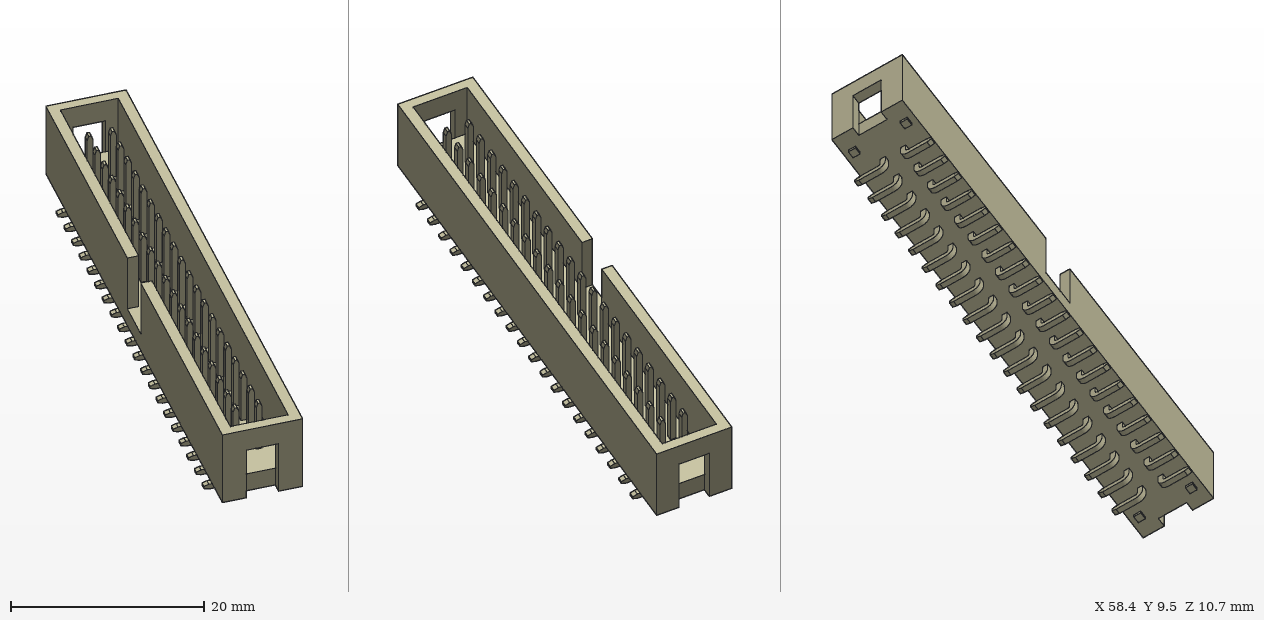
import cadquery as cq


length = 58.4
width = 8.75
housing_offset = 0.05
height = 8.9
floor_top = 2.2
side_wall = 1.2
end_wall = 1.1

key_width = 4.45
end_slot_width = 3.5
end_slot_top = 6.25

standoff_size = 0.9
standoff_height = 0.35
standoff_x = 26.75
standoff_y = 3.2

pins_per_row = 20
row_length = 48.25
pitch = row_length / (pins_per_row - 1)
pin_size = 0.65
pin_top = height - 0.7
foot_bottom = -1.75
foot_span = 9.5
foot_reach = foot_span / 2
bend_radius = 0.3
taper_length = 0.5
taper_depth = 0.2


def make_housing():
    """Open-topped box with a keying slot in the -Y wall and a slot in each end wall."""
    cavity_depth = height - floor_top
    housing = cq.Workplane("XY").box(length, width, height, centered=(True, True, False))
    cavity = (
        cq.Workplane("XY", origin=(0, 0, floor_top))
        .box(length - 2 * end_wall, width - 2 * side_wall, cavity_depth, centered=(True, True, False))
    )
    key_slot = (
        cq.Workplane("XY", origin=(0, (side_wall - width) / 2, floor_top))
        .box(key_width, side_wall, cavity_depth, centered=(True, True, False))
    )
    housing = housing.cut(cavity).cut(key_slot)
    for side in (-1, 1):
        end_slot = (
            cq.Workplane("XY", origin=(side * (length - end_wall) / 2, 0, 0))
            .box(end_wall, end_slot_width, end_slot_top, centered=(True, True, False))
        )
        housing = housing.cut(end_slot)
    return housing


def make_standoffs():
    """Four short square pads near the corners of the underside."""
    return (
        cq.Workplane("XY")
        .rect(2 * standoff_x, 2 * standoff_y, forConstruction=True)
        .vertices()
        .rect(standoff_size, standoff_size)
        .extrude(-standoff_height)
    )


def make_pin():
    """Square pin of the +Y row at X = 0: tapered tip, bent outward below, tapered foot."""
    inner = (pitch - pin_size) / 2
    outer = inner + pin_size
    foot_top = foot_bottom + pin_size
    bend_top = foot_top + bend_radius
    return (
        cq.Workplane("YZ", origin=(-pin_size / 2, 0, 0))
        .moveTo(inner, bend_top)
        .lineTo(inner, pin_top - taper_length)
        .lineTo(inner + taper_depth, pin_top)
        .lineTo(outer - taper_depth, pin_top)
        .lineTo(outer, pin_top - taper_length)
        .lineTo(outer, bend_top)
        .radiusArc((outer + bend_radius, foot_top), -bend_radius)
        .lineTo(foot_reach - taper_length, foot_top)
        .lineTo(foot_reach, foot_top - taper_depth)
        .lineTo(foot_reach, foot_bottom + taper_depth)
        .lineTo(foot_reach - taper_length, foot_bottom)
        .lineTo(outer + bend_radius, foot_bottom)
        .radiusArc((inner, bend_top), pin_size + bend_radius)
        .close()
        .extrude(pin_size)
    )


def make_pins():
    """Both pin rows, mirrored about the XZ plane."""
    pin = make_pin()
    pin_pair = [pin.val(), pin.mirror("XZ").val()]
    pins = []
    for column in range(pins_per_row):
        x = column * pitch - row_length / 2
        pins += [shape.translate(cq.Vector(x, 0, 0)) for shape in pin_pair]
    return pins


body = make_housing().union(make_standoffs()).translate((0, housing_offset, 0))
result = cq.Workplane(body.val().fuse(*make_pins()))